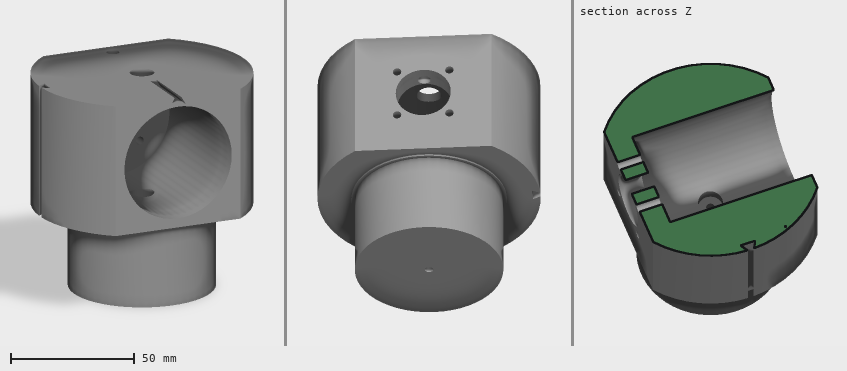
import cadquery as cq

TURN_ANGLE = -45.0

body_diameter = 90.0
across_flats = 71.1
body_height = 55.1
collar_diameter = 62.9
collar_height = 0.7
neck_diameter = 59.9
total_height = 89.9

body_bottom = total_height - body_height
bore_height = body_bottom + body_height / 2
flat_x = across_flats / 2

bore_diameter = 47.4
port_diameter = 22.2
port_wall = 9.9
bore_depth = across_flats - port_wall

screw_hole_diameter = 3.4
screw_hole_spacing = 21.1

top_hole_diameter = 10.0
drain_diameter = 3.5
pin_hole_diameter = 5.2
pin_hole_x = -28.6

side_groove_mouth = 2.4
side_groove_base = 6.0
side_groove_depth = 3.15
top_groove_mouth = 3.0
top_groove_base = 6.75
top_groove_depth = 3.15
top_groove_start = 10.8


def cylinder_z(diameter, bottom, top, x=0):
    """Vertical cylinder between two heights."""
    return cq.Workplane("XY", origin=(x, 0, bottom)).circle(diameter / 2).extrude(top - bottom)


def cylinder_x(diameter, start, length, y=0, z=bore_height):
    """Cylinder running in +X from the given start."""
    return cq.Workplane("YZ", origin=(start, y, z)).circle(diameter / 2).extrude(length)


def dovetail(plane, mouth, base, depth):
    """Dovetail outline with its mouth at local y = 0, its base at y = -depth, and its
    flanks carried on at the mouth width beyond the surface so that it cuts cleanly."""
    return plane.polyline([
        (-mouth / 2, depth),
        (-mouth / 2, 0),
        (-base / 2, -depth),
        (base / 2, -depth),
        (mouth / 2, 0),
        (mouth / 2, depth),
    ]).close()


def make_blank():
    """Flatted round body on a thin collar and a cylindrical neck."""
    flats = cq.Workplane("XY").box(across_flats, body_diameter, total_height, centered=(True, True, False))
    body = cylinder_z(body_diameter, body_bottom, total_height).intersect(flats)
    collar = cylinder_z(collar_diameter, body_bottom - collar_height, body_bottom)
    neck = cylinder_z(neck_diameter, 0, body_bottom)
    return body.union(collar).union(neck)


def cut_bore_and_port(part):
    """Large bore, smaller port and the four screw holes, all opening into the bore."""
    part = part.cut(cylinder_x(bore_diameter, flat_x - bore_depth, bore_depth))
    part = part.cut(cylinder_x(port_diameter, -flat_x, port_wall))
    offset = screw_hole_spacing / 2
    for y in (-offset, offset):
        for z in (bore_height - offset, bore_height + offset):
            part = part.cut(cylinder_x(screw_hole_diameter, -flat_x, port_wall, y, z))
    return part


def cut_vertical_holes(part):
    """Top hole on through the bore into its floor, drain hole out below, and pin hole into the port."""
    part = part.cut(cylinder_z(top_hole_diameter, body_bottom, total_height))
    part = part.cut(cylinder_z(drain_diameter, 0, body_bottom))
    return part.cut(cylinder_z(pin_hole_diameter, bore_height, total_height, pin_hole_x))


def cut_grooves(part):
    """Full-height groove on the -Y side, and a top groove that runs out at the +X flat."""
    side_plane = cq.Workplane(cq.Plane(
        origin=(0, -body_diameter / 2, body_bottom), xDir=(-1, 0, 0), normal=(0, 0, 1)))
    side_groove = dovetail(side_plane, side_groove_mouth, side_groove_base, side_groove_depth)
    part = part.cut(side_groove.extrude(body_height))

    top_plane = cq.Workplane("YZ", origin=(top_groove_start, 0, total_height))
    top_groove = dovetail(top_plane, top_groove_mouth, top_groove_base, top_groove_depth)
    return part.cut(top_groove.extrude(flat_x - top_groove_start))


part = make_blank()
part = cut_bore_and_port(part)
part = cut_vertical_holes(part)
part = cut_grooves(part)
result = part.rotate((0, 0, 0), (0, 0, 1), TURN_ANGLE)